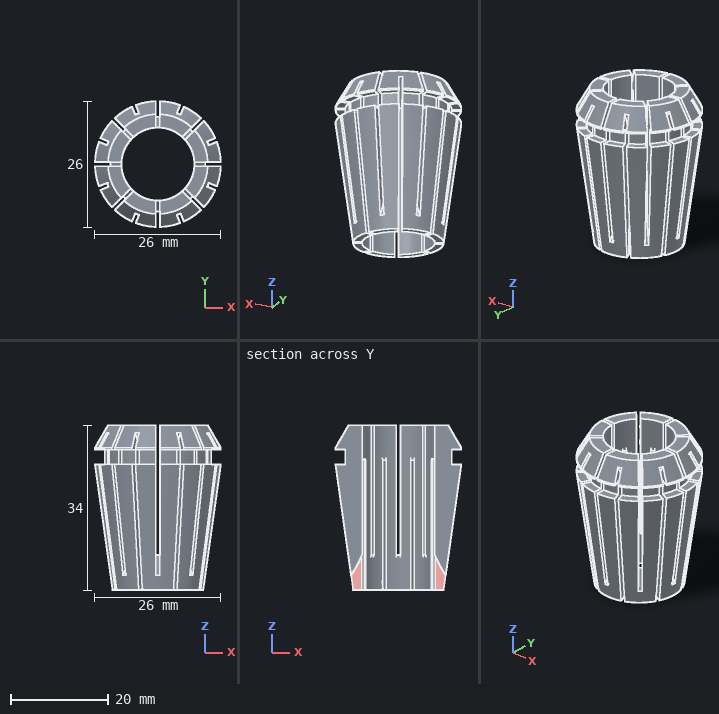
import cadquery as cq
import math

TOTAL_HEIGHT = 34.0
RIM_RADIUS = 13.0
BORE_RADIUS = 7.5
NECK_RADIUS = 11.0
GROOVE_BOTTOM = 25.9
GROOVE_TOP = 28.95
RIM_HEIGHT = 0.35
BODY_HALF_ANGLE = 8.0
HEAD_HALF_ANGLE = 30.0

SLITS_PER_SET = 8
SLIT_WIDTH = 0.8
SAW_RADIUS = 30.0
SLIT_OVERRUN = 1.0
TOP_SLIT_BORE_Z = 7.25
TOP_SLIT_OUTER_Z = 3.0
BOTTOM_SLIT_BORE_Z = 26.8
BOTTOM_SLIT_OUTER_Z = 32.4

SLIT_PITCH = 360.0 / SLITS_PER_SET
BODY_SLOPE = math.tan(math.radians(BODY_HALF_ANGLE))
HEAD_SLOPE = math.tan(math.radians(HEAD_HALF_ANGLE))
RIM_TOP = GROOVE_TOP + RIM_HEIGHT


def body_radius(z):
    """Radius of the long body cone at height z."""
    return RIM_RADIUS - (GROOVE_BOTTOM - z) * BODY_SLOPE


def head_radius(z):
    """Radius of the short head cone at height z."""
    return RIM_RADIUS - (z - RIM_TOP) * HEAD_SLOPE


def make_sleeve():
    """Revolve the half section: body cone, groove, rim, head cone and bore."""
    section = [
        (BORE_RADIUS, 0),
        (body_radius(0), 0),
        (RIM_RADIUS, GROOVE_BOTTOM),
        (NECK_RADIUS, GROOVE_BOTTOM),
        (NECK_RADIUS, GROOVE_TOP),
        (RIM_RADIUS, GROOVE_TOP),
        (RIM_RADIUS, RIM_TOP),
        (head_radius(TOTAL_HEIGHT), TOTAL_HEIGHT),
        (BORE_RADIUS, TOTAL_HEIGHT),
    ]
    return cq.Workplane("XZ").polyline(section).close().revolve(360, (0, 0, 0), (0, 1, 0))


def slit_arc_middle(start, end, side):
    """Middle of the saw arc from start to end, bulging towards the uncut material.

    side is -1 when the material lies below the slit end and +1 when it lies above.
    """
    run = end[0] - start[0]
    rise = end[1] - start[1]
    half_chord = math.hypot(run, rise) / 2
    sagitta = SAW_RADIUS - math.sqrt(SAW_RADIUS**2 - half_chord**2)
    middle_r = (start[0] + end[0]) / 2 - sagitta * abs(rise) / (2 * half_chord)
    middle_z = (start[1] + end[1]) / 2 + side * sagitta * run / (2 * half_chord)
    return middle_r, middle_z


def make_slit(bore_z, outer_radius, outer_z, open_z):
    """Radial slit along +X, closed by a saw-blade arc and open at height open_z."""
    bore_point = (BORE_RADIUS, bore_z)
    outer_point = (outer_radius, outer_z)
    side = 1 if open_z < outer_z else -1
    inner = BORE_RADIUS - SLIT_OVERRUN
    outer = RIM_RADIUS + SLIT_OVERRUN
    outline = (
        cq.Workplane("XZ")
        .moveTo(inner, bore_z)
        .lineTo(*bore_point)
        .threePointArc(slit_arc_middle(bore_point, outer_point, side), outer_point)
        .lineTo(outer, outer_z)
        .lineTo(outer, open_z)
        .lineTo(inner, open_z)
        .close()
    )
    return outline.extrude(SLIT_WIDTH / 2, both=True)


def cut_slits(part, slit, start_angle):
    """Cut one full set of slits, the first at start_angle."""
    for index in range(SLITS_PER_SET):
        angle = start_angle + index * SLIT_PITCH
        part = part.cut(slit.rotate((0, 0, 0), (0, 0, 1), angle))
    return part


top_slit = make_slit(
    TOP_SLIT_BORE_Z,
    body_radius(TOP_SLIT_OUTER_Z),
    TOP_SLIT_OUTER_Z,
    TOTAL_HEIGHT + SLIT_OVERRUN,
)
bottom_slit = make_slit(
    BOTTOM_SLIT_BORE_Z,
    head_radius(BOTTOM_SLIT_OUTER_Z),
    BOTTOM_SLIT_OUTER_Z,
    -SLIT_OVERRUN,
)

result = make_sleeve()
result = cut_slits(result, top_slit, 0)
result = cut_slits(result, bottom_slit, SLIT_PITCH / 2)